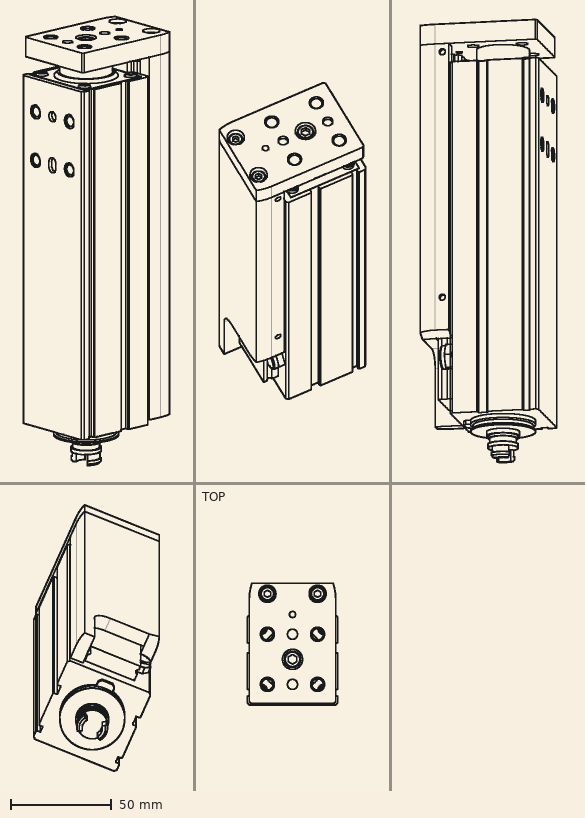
import cadquery as cq
import math


BODY_WIDTH = 45.0
BODY_DEPTH = 44.8
BODY_HEIGHT = 179.1
BODY_CHAMFER = 1.0
AXIS_Y = 22.7
HOLE_PITCH = 25.0

SIDE_SLOTS = [(28.5, 5.5), (6.1, 4.0)]
SLOT_DEPTH = 2.2
SLOT_MOUTH_CHAMFER = 0.5

COVER_WIDTH = 41.0
COVER_FRONT = 3.3
COVER_BACK = 41.3
COVER_HEIGHT = 0.2

COLLAR_BASE_DIAMETER = 32.4
COLLAR_TOP_DIAMETER = 28.5
COLLAR_HEIGHT = 2.0

CORNER_SCREW_X = 15.7
CORNER_SCREW_OFFSET_Y = 15.5
CORNER_SCREW_BASE_DIAMETER = 6.5
CORNER_SCREW_TOP_DIAMETER = 5.0
CORNER_SCREW_HEIGHT = 1.3
CORNER_SOCKET_FLATS = 3.0

ROD_DIAMETER = 26.5
ROD_GAP = 9.6

PLATE_THICKNESS = 10.0
PLATE_WIDTH = 43.0
PLATE_FRONT = 0.9
PLATE_CHAMFER = 0.9

TABLE_BACK = 60.5
TABLE_FRONT = 45.7
SIDE_FLAT_END = 53.0
FLANK_INSET = 1.3
CHANNEL_WIDTH = 29.5
CHANNEL_BACK = 53.5
TABLE_WALL_END = 42.9
TABLE_WALL_SLOPE = 2.8
TABLE_FILLET = 8.3
TABLE_TONGUE_END = 2.0
TABLE_SIDE_HOLE_DIAMETER = 3.0
TABLE_SIDE_HOLE_DEPTH = 2.2
TABLE_SIDE_HOLE_Y = 49.0
TABLE_SIDE_HOLE_HEIGHTS = [59.5, 184.5]

RAIL_WIDTH = 26.7
RAIL_BACK = 53.0
RAIL_BOTTOM = 9.5
RACEWAY_BACK = 51.0
RACEWAY_FRONT = 48.3
RACEWAY_DEPTH = 1.0
STOP_WIDTH = 21.9
STOP_FRONT = 41.8
STOP_HEIGHT = 6.0
STOP_CHAMFER = 1.3

BUMPER_X = -14.2
BUMPER_Z = 30.5
BUMPER_HEX_FLATS = 11.5
BUMPER_HEX_END = 48.1
BUMPER_DIAMETER = 11.8
BUMPER_END = 50.7
BUMPER_CHAMFER = 0.7

TAP_MOUTH_DIAMETER = 7.0
TAP_MOUTH_DEPTH = 0.7
TAP_DIAMETER = 5.0
TAP_DEPTH = 6.5
DRILL_DIAMETER = 4.2
DRILL_DEPTH = 7.9
DRILL_POINT_HEIGHT = 1.3
PLATE_TAP_DIAMETER = 5.7
DOWEL_DIAMETER = 5.0
DOWEL_DEPTH = 2.0
DOWEL_SLOT_LENGTH = 7.7
FRONT_HOLES_BELOW_TOP = 17.0

REAR_SCREW_Y = 55.3
REAR_BORE_DIAMETER = 8.5
REAR_HEAD_DIAMETER = 7.0
REAR_SOCKET_FLATS = 3.0
REAR_BORE_DEPTH = 6.5
REAR_HEAD_DROP = 1.5
CENTRE_BORE_DIAMETER = 10.0
CENTRE_HEAD_DIAMETER = 8.0
CENTRE_SOCKET_FLATS = 4.2
CENTRE_BORE_DEPTH = 6.5
CENTRE_HEAD_DROP = 0.7
SOCKET_DEPTH = 2.2
HEAD_CHAMFER = 0.5
VENT_DIAMETER = 3.0
VENT_Y = 45.0

FLANGE_DIAMETER = 32.4
FLANGE_NECK_DIAMETER = 30.2
UPPER_FLANGE_END = 2.0
LOWER_FLANGE_START = 5.0
LOWER_FLANGE_END = 5.7
NECK_START = 2.6
NECK_END = 4.4
KEY_WIDTH = 8.7
KEY_REACH = 19.5
KEY_CHAMFER = 1.5
SHELL_DIAMETER = 16.5
SHELL_END = 7.9
STEP_DIAMETER = 14.7
STEP_END = 9.2
WAIST_DIAMETER = 13.3
WAIST_END = 12.0
RIM_DIAMETER = 15.0
RIM_END = 14.0
PRONG_OUTER_DIAMETER = 14.2
PRONG_INNER_DIAMETER = 10.0
PRONG_HALF_ANGLE = math.radians(36.5)
PRONG_LIP_DIAMETER = 15.3
PRONG_LIP_START = 17.3
PRONG_LIP_END = 18.8
PRONG_TIP_DIAMETER = 13.1
PRONG_END = 20.0

HALF_BODY = BODY_WIDTH / 2
HALF_PLATE = PLATE_WIDTH / 2
HALF_CHANNEL = CHANNEL_WIDTH / 2
PLATE_BOTTOM = BODY_HEIGHT + ROD_GAP
PLATE_TOP = PLATE_BOTTOM + PLATE_THICKNESS
HALF_PITCH = HOLE_PITCH / 2
HEX_FLATS_PER_CORNERS = math.cos(math.pi / 6)
HEX_TURN = 30


def cylinder(x, y, z, diameter, height):
    """Upright cylinder standing on (x, y, z)."""
    return cq.Workplane("XY", origin=(x, y, z)).circle(diameter / 2).extrude(height)


def cone(x, y, z, base_diameter, top_diameter, height):
    """Upright truncated cone standing on (x, y, z)."""
    base = cq.Workplane("XY", origin=(x, y, z)).circle(base_diameter / 2)
    return base.workplane(offset=height).circle(top_diameter / 2).loft()


def hexagon(x, y, z, flats, height):
    """Upright hexagonal prism standing on (x, y, z)."""
    corners_diameter = flats / HEX_FLATS_PER_CORNERS
    prism = cq.Workplane("XY", origin=(x, y, z)).polygon(6, corners_diameter)
    return prism.extrude(height).rotate((x, y, z), (x, y, z + 2.2), HEX_TURN)


def tapped_hole():
    """Cutter for a stepped, tapped blind hole with a drill point, entering along -Z from the origin."""
    outline = [
        (0, 0),
        (TAP_MOUTH_DIAMETER / 2, 0),
        (TAP_MOUTH_DIAMETER / 2, -TAP_MOUTH_DEPTH),
        (TAP_DIAMETER / 2, -TAP_MOUTH_DEPTH),
        (TAP_DIAMETER / 2, -TAP_DEPTH),
        (DRILL_DIAMETER / 2, -TAP_DEPTH),
        (DRILL_DIAMETER / 2, -DRILL_DEPTH),
        (0, -DRILL_DEPTH - DRILL_POINT_HEIGHT),
    ]
    return cq.Workplane("XZ").polyline(outline).close().revolve(360, (0, 0), (0, 1))


def recessed_screw(x, y, bore, head, flats, bore_depth, head_drop):
    """Cutter that leaves a socket-head screw standing in a counterbore of the end plate."""
    head_top = PLATE_TOP - head_drop
    floor = PLATE_TOP - bore_depth
    cutter = cylinder(x, y, floor, bore, bore_depth)
    standing_head = cylinder(x, y, floor, head, head_top - floor).faces(">Z").chamfer(HEAD_CHAMFER)
    cutter = cutter.cut(standing_head)
    return cutter.union(hexagon(x, y, head_top - SOCKET_DEPTH, flats, SOCKET_DEPTH))


def side_slots():
    """Slots with chamfered mouths running the full height of both sides."""
    cutters = cq.Workplane("XY")
    for side in (-1, 1):
        for middle, opening in SIDE_SLOTS:
            outer = opening / 2
            inner = outer - SLOT_MOUTH_CHAMFER
            mouth_x = side * HALF_BODY
            wall_x = side * (HALF_BODY - SLOT_MOUTH_CHAMFER)
            floor_x = side * (HALF_BODY - SLOT_DEPTH)
            outline = [
                (mouth_x, middle - outer),
                (mouth_x, middle + outer),
                (wall_x, middle + inner),
                (floor_x, middle + inner),
                (floor_x, middle - inner),
                (wall_x, middle - inner),
            ]
            cutters = cutters.union(cq.Workplane("XY").polyline(outline).close().extrude(BODY_HEIGHT))
    return cutters


def corner_screws():
    """Low screw heads at the four corners of the cover."""
    heads = cq.Workplane("XY")
    for x in (-CORNER_SCREW_X, CORNER_SCREW_X):
        for y in (AXIS_Y - CORNER_SCREW_OFFSET_Y, AXIS_Y + CORNER_SCREW_OFFSET_Y):
            head = cone(
                x, y, BODY_HEIGHT, CORNER_SCREW_BASE_DIAMETER, CORNER_SCREW_TOP_DIAMETER, CORNER_SCREW_HEIGHT,
            )
            socket_floor = BODY_HEIGHT + COVER_HEIGHT
            head = head.cut(hexagon(x, y, socket_floor, CORNER_SOCKET_FLATS, CORNER_SCREW_HEIGHT))
            heads = heads.union(head)
    return heads


def front_holes():
    """Four tapped holes, a dowel hole and a dowel slot in the mounting face."""
    upper = BODY_HEIGHT - FRONT_HOLES_BELOW_TOP
    lower = upper - HOLE_PITCH
    cutters = cq.Workplane("XZ", origin=(0, 0, upper)).circle(DOWEL_DIAMETER / 2).extrude(-DOWEL_DEPTH)
    slot = cq.Workplane("XZ", origin=(0, 0, lower)).slot2D(DOWEL_SLOT_LENGTH, DOWEL_DIAMETER, 90)
    cutters = cutters.union(slot.extrude(-DOWEL_DEPTH))
    for x in (-HALF_PITCH, HALF_PITCH):
        for z in (lower, upper):
            hole = tapped_hole().rotate((0, 0, 0), (1, 0, 0), 90).translate((x, 0, z))
            cutters = cutters.union(hole)
    return cutters


def make_housing():
    block = cq.Workplane("XY").rect(BODY_WIDTH, BODY_DEPTH).extrude(BODY_HEIGHT)
    block = block.edges("|Z").chamfer(BODY_CHAMFER).translate((0, BODY_DEPTH / 2, 0))
    block = block.cut(side_slots()).cut(front_holes())
    cover_middle = (COVER_FRONT + COVER_BACK) / 2
    cover = cq.Workplane("XY", origin=(0, cover_middle, BODY_HEIGHT))
    cover = cover.rect(COVER_WIDTH, COVER_BACK - COVER_FRONT).extrude(COVER_HEIGHT)
    collar = cone(0, AXIS_Y, BODY_HEIGHT, COLLAR_BASE_DIAMETER, COLLAR_TOP_DIAMETER, COLLAR_HEIGHT)
    block = block.union(cover).union(collar).union(corner_screws())
    return block.cut(cylinder(0, AXIS_Y, BODY_HEIGHT, ROD_DIAMETER, COLLAR_HEIGHT))


def make_rod():
    return cylinder(0, AXIS_Y, BODY_HEIGHT, ROD_DIAMETER, ROD_GAP)


def rounded_back_outline(front):
    """Outline whose two flanks curve gently inwards towards the back, starting at the given front Y."""
    back_x = HALF_PLATE - FLANK_INSET
    middle_x, middle_y = flank_middle()
    return (
        cq.Workplane("XY")
        .moveTo(-HALF_PLATE, front)
        .lineTo(HALF_PLATE, front)
        .lineTo(HALF_PLATE, SIDE_FLAT_END)
        .threePointArc((middle_x, middle_y), (back_x, TABLE_BACK))
        .lineTo(-back_x, TABLE_BACK)
        .threePointArc((-middle_x, middle_y), (-HALF_PLATE, SIDE_FLAT_END))
        .close()
    )


def flank_middle():
    """Middle point of the +X flank arc, which is tangent to the flat side."""
    length = TABLE_BACK - SIDE_FLAT_END
    radius = (length**2 + FLANK_INSET**2) / (2 * FLANK_INSET)
    half_angle = math.asin(length / radius) / 2
    inset = radius * (1 - math.cos(half_angle))
    return (HALF_PLATE - inset, SIDE_FLAT_END + radius * math.sin(half_angle))


def plate_tap(x, y):
    """Cutter for a countersunk hole through the end plate."""
    mouth_bottom = PLATE_TOP - TAP_MOUTH_DEPTH
    hole = cylinder(x, y, PLATE_BOTTOM, PLATE_TAP_DIAMETER, PLATE_THICKNESS)
    return hole.union(cone(x, y, mouth_bottom, PLATE_TAP_DIAMETER, TAP_MOUTH_DIAMETER, TAP_MOUTH_DEPTH))


def make_end_plate():
    plate = rounded_back_outline(PLATE_FRONT).extrude(PLATE_THICKNESS).translate((0, 0, PLATE_BOTTOM))
    plate = plate.edges("|Z and <Y").chamfer(PLATE_CHAMFER)
    for y in (AXIS_Y - HALF_PITCH, AXIS_Y + HALF_PITCH):
        plate = plate.cut(cylinder(0, y, PLATE_TOP - DOWEL_DEPTH, DOWEL_DIAMETER, DOWEL_DEPTH))
        for x in (-HALF_PITCH, HALF_PITCH):
            plate = plate.cut(plate_tap(x, y))
    for x in (-HALF_PITCH, HALF_PITCH):
        plate = plate.cut(recessed_screw(
            x, REAR_SCREW_Y, REAR_BORE_DIAMETER, REAR_HEAD_DIAMETER,
            REAR_SOCKET_FLATS, REAR_BORE_DEPTH, REAR_HEAD_DROP,
        ))
    plate = plate.cut(recessed_screw(
        0, AXIS_Y, CENTRE_BORE_DIAMETER, CENTRE_HEAD_DIAMETER,
        CENTRE_SOCKET_FLATS, CENTRE_BORE_DEPTH, CENTRE_HEAD_DROP,
    ))
    return plate.cut(cylinder(0, VENT_Y, PLATE_BOTTOM, VENT_DIAMETER, PLATE_THICKNESS))


def make_slide_table():
    height = PLATE_BOTTOM - TABLE_TONGUE_END
    table = rounded_back_outline(TABLE_FRONT).extrude(height).translate((0, 0, TABLE_TONGUE_END))
    channel = cq.Workplane("XY", origin=(0, (TABLE_FRONT + CHANNEL_BACK) / 2, TABLE_TONGUE_END))
    table = table.cut(channel.rect(CHANNEL_WIDTH, CHANNEL_BACK - TABLE_FRONT).extrude(height))

    web_end = TABLE_WALL_END - TABLE_WALL_SLOPE
    fillet_start_x = HALF_CHANNEL - TABLE_FILLET
    fillet_middle = (
        fillet_start_x + TABLE_FILLET * math.sin(math.pi / 4),
        web_end - TABLE_FILLET * (1 - math.cos(math.pi / 4)),
    )
    cutaway = (
        cq.Workplane("XZ")
        .moveTo(-HALF_PLATE, 0)
        .lineTo(-HALF_PLATE, TABLE_WALL_END)
        .lineTo(-HALF_CHANNEL, web_end)
        .lineTo(fillet_start_x, web_end)
        .threePointArc(fillet_middle, (HALF_CHANNEL, web_end - TABLE_FILLET))
        .lineTo(HALF_CHANNEL, 0)
        .close()
        .extrude(-TABLE_BACK)
    )
    table = table.cut(cutaway)

    for z in TABLE_SIDE_HOLE_HEIGHTS:
        hole = cq.Workplane("YZ", origin=(-HALF_PLATE, TABLE_SIDE_HOLE_Y, z))
        hole = hole.circle(TABLE_SIDE_HOLE_DIAMETER / 2).extrude(TABLE_SIDE_HOLE_DEPTH)
        table = table.cut(hole)
    return table


def make_guide_rail():
    half = RAIL_WIDTH / 2
    raceway_middle = (RACEWAY_BACK + RACEWAY_FRONT) / 2
    rail = (
        cq.Workplane("XY")
        .moveTo(-half, BODY_DEPTH)
        .lineTo(half, BODY_DEPTH)
        .lineTo(half, RACEWAY_FRONT)
        .threePointArc((half - RACEWAY_DEPTH, raceway_middle), (half, RACEWAY_BACK))
        .lineTo(half, RAIL_BACK)
        .lineTo(-half, RAIL_BACK)
        .lineTo(-half, RACEWAY_BACK)
        .threePointArc((-half + RACEWAY_DEPTH, raceway_middle), (-half, RACEWAY_FRONT))
        .close()
        .extrude(BODY_HEIGHT + STOP_HEIGHT - RAIL_BOTTOM)
        .translate((0, 0, RAIL_BOTTOM))
    )
    return rail.union(rail_stop()).union(rail_bumper())


def rail_stop():
    """Block at the head of the rail, resting on top of the housing."""
    depth = BODY_DEPTH - STOP_FRONT
    stop = cq.Workplane("XY", origin=(0, STOP_FRONT + depth / 2, BODY_HEIGHT))
    stop = stop.rect(STOP_WIDTH, depth).extrude(STOP_HEIGHT)
    return stop.edges("|Z and <Y").chamfer(STOP_CHAMFER)


def rail_bumper():
    """Hexagonal post with a round flange beside the rail."""
    corners_diameter = BUMPER_HEX_FLATS / HEX_FLATS_PER_CORNERS
    post = cq.Workplane("XZ", origin=(BUMPER_X, BODY_DEPTH, BUMPER_Z))
    post = post.polygon(6, corners_diameter).extrude(BODY_DEPTH - BUMPER_HEX_END)
    flange = cq.Workplane("XZ", origin=(BUMPER_X, BUMPER_HEX_END, BUMPER_Z))
    flange = flange.circle(BUMPER_DIAMETER / 2).extrude(BUMPER_HEX_END - BUMPER_END)
    flange = flange.faces(">Y").chamfer(BUMPER_CHAMFER)
    return post.union(flange)


def make_connector():
    """Grooved flange, stepped shell and two latch prongs hanging below the housing."""
    outline = [
        (0, 0),
        (FLANGE_DIAMETER / 2, 0),
        (FLANGE_DIAMETER / 2, -UPPER_FLANGE_END),
        (FLANGE_NECK_DIAMETER / 2, -NECK_START),
        (FLANGE_NECK_DIAMETER / 2, -NECK_END),
        (FLANGE_DIAMETER / 2, -LOWER_FLANGE_START),
        (FLANGE_DIAMETER / 2, -LOWER_FLANGE_END),
        (SHELL_DIAMETER / 2, -LOWER_FLANGE_END),
        (SHELL_DIAMETER / 2, -SHELL_END),
        (STEP_DIAMETER / 2, -SHELL_END),
        (STEP_DIAMETER / 2, -STEP_END),
        (WAIST_DIAMETER / 2, -STEP_END),
        (WAIST_DIAMETER / 2, -WAIST_END),
        (RIM_DIAMETER / 2, -WAIST_END),
        (RIM_DIAMETER / 2, -RIM_END),
        (0, -RIM_END),
    ]
    shell = cq.Workplane("XZ").polyline(outline).close().revolve(360, (0, 0), (0, 1))
    key = cq.Workplane("XY", origin=(0, KEY_REACH / 2, 0)).rect(KEY_WIDTH, KEY_REACH)
    key = key.extrude(-UPPER_FLANGE_END).edges("|Z and >Y").chamfer(KEY_CHAMFER)
    return shell.union(key).union(latch_prongs()).translate((0, AXIS_Y, 0))


def latch_prongs():
    """Two opposite ring sectors with a lip near their tips."""
    outline = [
        (PRONG_INNER_DIAMETER / 2, -RIM_END),
        (PRONG_OUTER_DIAMETER / 2, -RIM_END),
        (PRONG_OUTER_DIAMETER / 2, -PRONG_LIP_START),
        (PRONG_LIP_DIAMETER / 2, -PRONG_LIP_START),
        (PRONG_LIP_DIAMETER / 2, -PRONG_LIP_END),
        (PRONG_TIP_DIAMETER / 2, -PRONG_END),
        (PRONG_INNER_DIAMETER / 2, -PRONG_END),
    ]
    ring = cq.Workplane("XZ").polyline(outline).close().revolve(360, (0, 0), (0, 1))
    reach = PRONG_LIP_DIAMETER
    spread = reach * math.tan(PRONG_HALF_ANGLE)
    sectors = cq.Workplane("XY")
    for side in (-1, 1):
        wedge = [(0, 0), (side * reach, -spread), (side * reach, spread)]
        sectors = sectors.union(cq.Workplane("XY").polyline(wedge).close().extrude(-PRONG_END))
    return ring.intersect(sectors)


housing = make_housing()
rod = make_rod()
end_plate = make_end_plate()
slide_table = make_slide_table()
guide_rail = make_guide_rail()
connector = make_connector()

result = cq.Compound.makeCompound([
    housing.val(),
    rod.val(),
    end_plate.val(),
    slide_table.val(),
    guide_rail.val(),
    connector.val(),
])